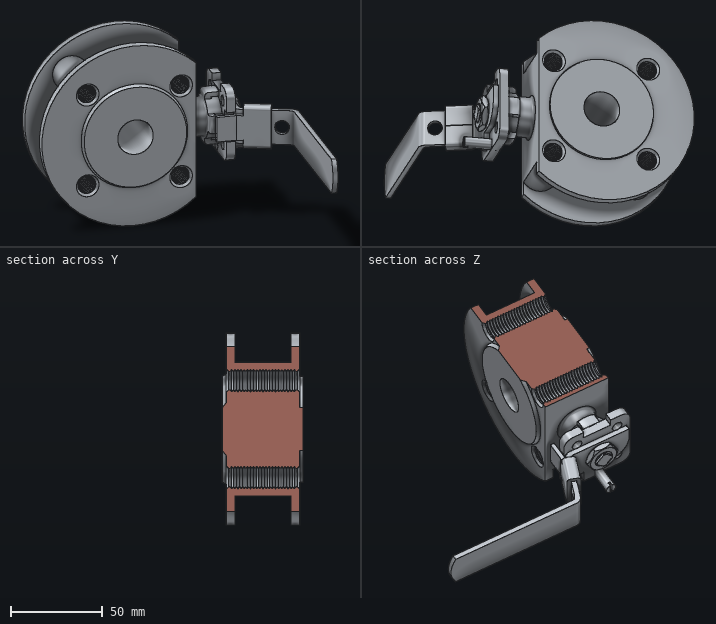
import cadquery as cq
import math


flange_diameter = 104.9
flange_thickness = 5.0
flat_y = 35.0
bore_diameter = 20.0
raised_face_diameter = 58.0
left_face_height = 1.7
right_face_height = 2.1
right_face_base_diameter = 60.3
face_x = 22.0
left_flange_x = -face_x + left_face_height
right_flange_x = face_x - right_face_height
waist_left_x = left_flange_x + flange_thickness
waist_right_x = right_flange_x - flange_thickness

bolt_offset = 26.5
boss_radius = 10.1
valley_radius = 30.2
thread_minor_diameter = 10.0
thread_major_diameter = 12.0
thread_mouth_diameter = 12.8
thread_pitch = 1.7
thread_ring_count = 21

neck_diameter = 22.0
neck_base_flare = 1.3
neck_base_flare_height = 1.9
neck_top_flare = 0.9
core_diameter = 25.0
lug_circle_diameter = 32.0
lug_width = 10.1
lug_edge_radius = 2.0
lug_bottom_y = 44.0
lug_relief_bottom_y = 47.7
lug_web_width = 5.0
plate_bottom_y = 52.0
plate_top_y = 57.0
plate_size = 42.0
plate_corner_radius = 6.0
plate_hole_diameter = 6.0
plate_hole_offset = 12.7
notch_width = 17.1
notch_depth = 4.4

pin_diameter = 6.0
pin_z = -17.6
pin_top_y = 72.2
pin_slot_width = 1.1
pin_slot_depth = 2.3

stem_diameter = 10.7
stem_square = 8.0
stem_top_y = 65.3
stem_chamfer = 0.5
nut_across_flats = 17.1
nut_height = 4.0
nut_face_radius = 8.3
nut_chamfer_angle = math.radians(40)

lever_thickness = 3.0
lever_width = 19.9
lever_left_x = -18.5
bend_inner_radius = 3.1
bend_outer_radius = 4.4
lever_lean = math.radians(20)
lever_foot_x = 19.5
overall_height = 142.3
handle_top_y = overall_height - flange_diameter / 2
handle_end_x = 112.0
handle_end_bulge = 3.0
lever_hole_diameter = 8.0
lever_hole_y = 81.5
stop_arc_radius = 12.7
stop_ear_width = 7.1

sleeve_wall = 2.4
sleeve_length = 15.2
sleeve_corner_radius = 2.3
sleeve_bottom_y = 61.8
sleeve_seam = 0.3
tongue_width = 14.4
tongue_outer_x = 23.0
tongue_bottom_y = 45.8

lever_bottom_y = plate_top_y
lever_top_y = lever_bottom_y + lever_thickness
lever_base_mid_y = lever_bottom_y + lever_thickness / 2
nut_top_y = lever_top_y + nut_height


def cylinder_along_y(diameter, y_start, y_end, x=0, z=0):
    base = cq.Workplane("XZ", origin=(0, y_start, 0)).center(x, z)
    return base.circle(diameter / 2).extrude(y_start - y_end)


def cylinder_along_x(diameter, x_start, x_end, y=0, z=0):
    base = cq.Workplane("YZ", origin=(x_start, 0, 0)).center(y, z)
    return base.circle(diameter / 2).extrude(x_end - x_start)


def box_along_y(x_size, z_size, y_start, y_end, x=0, z=0):
    base = cq.Workplane("XZ", origin=(0, y_start, 0)).center(x, z)
    return base.rect(x_size, z_size).extrude(y_start - y_end)


def lean_x(y):
    """X of the mid plane of the leaning lever stretch at height y."""
    return lever_foot_x + (y - lever_base_mid_y) * math.tan(lever_lean)


def bolt_positions():
    return [(y, z) for y in (-bolt_offset, bolt_offset) for z in (-bolt_offset, bolt_offset)]


def waist():
    """Lobed section between the flanges: four bosses joined by concave valleys."""
    valley_centre = bolt_offset + math.sqrt((boss_radius + valley_radius) ** 2 - bolt_offset ** 2)
    tangent_share = boss_radius / (boss_radius + valley_radius)
    near = bolt_offset * (1 - tangent_share)
    far = bolt_offset + (valley_centre - bolt_offset) * tangent_share
    outline = [
        (far, near), (near, far), (-near, far), (-far, near),
        (-far, -near), (-near, -far), (near, -far), (far, -near),
    ]
    length = waist_right_x - waist_left_x
    section = cq.Workplane("YZ", origin=(waist_left_x, 0, 0))
    body = section.polyline(outline).close().extrude(length)
    body = body.union(section.pushPoints(bolt_positions()).circle(boss_radius).extrude(length))
    valleys = [(-valley_centre, 0), (0, valley_centre), (0, -valley_centre)]
    body = body.cut(section.pushPoints(valleys).circle(valley_radius).extrude(length))
    middle_x = (waist_left_x + waist_right_x) / 2
    return body.union(box_along_y(length, 2 * bolt_offset, bolt_offset, flat_y, x=middle_x))


def flanges():
    left = cylinder_along_x(flange_diameter, left_flange_x, waist_left_x)
    right = cylinder_along_x(flange_diameter, waist_right_x, right_flange_x)
    return left.union(right)


def raised_faces():
    left = cylinder_along_x(raised_face_diameter, -face_x, left_flange_x)
    right = (
        cq.Workplane("YZ", origin=(right_flange_x, 0, 0))
        .circle(right_face_base_diameter / 2)
        .workplane(offset=right_face_height)
        .circle(raised_face_diameter / 2)
        .loft()
    )
    return left.union(right)


def thread_cutter():
    """Through-hole tool with V-shaped thread rings and a wide mouth at both ends."""
    minor = thread_minor_diameter / 2
    major = thread_major_diameter / 2
    mouth = thread_mouth_diameter / 2
    mouth_depth = mouth - minor
    start = left_flange_x + mouth_depth
    end = right_flange_x - mouth_depth
    first = (start + end - thread_ring_count * thread_pitch) / 2
    profile = [(left_flange_x, 0), (left_flange_x, mouth), (start, minor)]
    for ring in range(thread_ring_count):
        x = first + ring * thread_pitch
        profile.append((x, minor))
        profile.append((x + thread_pitch / 2, major))
    last = first + thread_ring_count * thread_pitch
    profile += [(last, minor), (end, minor), (right_flange_x, mouth), (right_flange_x, 0)]
    return cq.Workplane("XY").polyline(profile).close().revolve(360, (0, 0), (1, 0))


def neck():
    """Round neck with a concave flare at each end, topped by the core between the lugs."""
    radius = neck_diameter / 2
    core_radius = core_diameter / 2
    bulge = 1 - math.sqrt(0.5)
    profile = (
        cq.Workplane("XY")
        .moveTo(0, plate_top_y)
        .lineTo(core_radius, plate_top_y)
        .lineTo(core_radius, lug_bottom_y)
        .lineTo(radius + neck_top_flare, lug_bottom_y)
        .threePointArc(
            (radius + neck_top_flare * bulge, lug_bottom_y - neck_top_flare * bulge),
            (radius, lug_bottom_y - neck_top_flare),
        )
        .lineTo(radius, flat_y + neck_base_flare_height)
        .tangentArcPoint((radius + neck_base_flare, flat_y), relative=False)
        .lineTo(0, flat_y)
        .close()
    )
    return profile.revolve(360, (0, 0), (0, 1))


def lugs():
    """Four lugs under the plate, relieved next to the core just below the plate."""
    disc = cylinder_along_y(lug_circle_diameter, lug_bottom_y, plate_bottom_y)
    disc = disc.faces("<Y").edges().fillet(lug_edge_radius)
    bars = box_along_y(lug_circle_diameter, lug_width, lug_bottom_y, plate_bottom_y)
    bars = bars.union(box_along_y(lug_width, lug_circle_diameter, lug_bottom_y, plate_bottom_y))
    relief = box_along_y(core_diameter, core_diameter, lug_relief_bottom_y, plate_bottom_y)
    webs = box_along_y(core_diameter, lug_web_width, lug_relief_bottom_y, plate_bottom_y)
    relief = relief.cut(webs).cut(webs.rotate((0, 0, 0), (0, 1, 0), 90))
    return disc.intersect(bars).cut(relief)


def mounting_plate():
    plate = box_along_y(plate_size, plate_size, plate_bottom_y, plate_top_y)
    plate = plate.edges("|Y").fillet(plate_corner_radius)
    for x in (-plate_hole_offset, plate_hole_offset):
        for z in (-plate_hole_offset, plate_hole_offset):
            plate = plate.cut(cylinder_along_y(plate_hole_diameter, plate_bottom_y, plate_top_y, x, z))
    notch_centre = plate_size / 2 - notch_depth / 2
    open_notch = box_along_y(notch_depth, notch_width, plate_bottom_y, plate_top_y, x=notch_centre)
    closed_notch = box_along_y(notch_width, notch_depth, plate_bottom_y, plate_top_y, z=notch_centre)
    return plate.cut(open_notch).cut(closed_notch)


def make_housing():
    body = flanges().union(waist())
    beyond_flat = box_along_y(2 * face_x, flange_diameter, flat_y, flange_diameter)
    body = body.cut(beyond_flat)
    body = body.union(raised_faces())
    body = body.union(neck()).union(lugs()).union(mounting_plate())
    body = body.cut(cylinder_along_x(bore_diameter, -face_x, face_x))
    cutter = thread_cutter()
    for y, z in bolt_positions():
        body = body.cut(cutter.translate((0, y, z)))
    body = body.cut(cylinder_along_y(stem_diameter, flat_y, plate_top_y))
    return body.cut(cylinder_along_y(pin_diameter, plate_bottom_y, plate_top_y, z=pin_z))


def make_stop_pin():
    pin = cylinder_along_y(pin_diameter, plate_bottom_y, pin_top_y, z=pin_z)
    slot = box_along_y(pin_slot_width, pin_diameter, pin_top_y - pin_slot_depth, pin_top_y, z=pin_z)
    return pin.cut(slot)


def make_stem():
    """Round stem with a square end whose corners point along X and Z."""
    stem = cylinder_along_y(stem_diameter, flat_y, stem_top_y)
    stem = stem.faces(">Y").edges().chamfer(stem_chamfer)
    square = box_along_y(stem_square, stem_square, nut_top_y, stem_top_y)
    square = square.rotate((0, 0, 0), (0, 1, 0), 45)
    return stem.intersect(square.union(cylinder_along_y(stem_diameter, flat_y, nut_top_y)))


def make_nut():
    """Hexagon nut with a corner along X, its corners chamfered on both faces."""
    corner_radius = nut_across_flats / math.sqrt(3)
    drop = (corner_radius - nut_face_radius) * math.tan(nut_chamfer_angle)
    base = cq.Workplane("XZ", origin=(0, lever_top_y, 0))
    hexagon = base.polygon(6, 2 * corner_radius).extrude(-nut_height)
    envelope = [
        (0, lever_top_y), (nut_face_radius, lever_top_y), (corner_radius, lever_top_y + drop),
        (corner_radius, nut_top_y - drop), (nut_face_radius, nut_top_y), (0, nut_top_y),
    ]
    cone = cq.Workplane("XY").polyline(envelope).close().revolve(360, (0, 0), (0, 1))
    return hexagon.intersect(cone).cut(cylinder_along_y(stem_diameter, lever_top_y, nut_top_y))


def lever_strip():
    """Bent strip of constant thickness: base, leaning stretch and handle."""
    half = lever_thickness / 2
    side_shift = half / math.cos(lever_lean)
    upper = [
        (lever_left_x, lever_top_y),
        (lean_x(lever_top_y) - side_shift, lever_top_y),
        (lean_x(handle_top_y) - side_shift, handle_top_y),
        (handle_end_x, handle_top_y),
    ]
    handle_bottom_y = handle_top_y - lever_thickness
    lower = [
        (handle_end_x, handle_bottom_y),
        (lean_x(handle_bottom_y) + side_shift, handle_bottom_y),
        (lean_x(lever_bottom_y) + side_shift, lever_bottom_y),
        (lever_left_x, lever_bottom_y),
    ]
    strip = cq.Workplane("XY", origin=(0, 0, -lever_width / 2))
    strip = strip.polyline(upper + lower).close().extrude(lever_width)
    bends = [
        (upper[1], bend_inner_radius), (upper[2], bend_outer_radius),
        (lower[1], bend_inner_radius), (lower[2], bend_outer_radius),
    ]
    for corner, radius in bends:
        edge = strip.edges(cq.selectors.NearestToPointSelector((corner[0], corner[1], 0)))
        strip = edge.fillet(radius)
    return strip


def handle_end_trim():
    """Block beyond the bulged end of the handle."""
    half = lever_width / 2
    shoulder_x = handle_end_x - handle_end_bulge
    beyond_x = handle_end_x + handle_end_bulge
    end = cq.Workplane("XZ", origin=(0, handle_top_y - lever_thickness, 0))
    end = end.moveTo(shoulder_x, -half).threePointArc((handle_end_x, 0), (shoulder_x, half))
    return end.lineTo(beyond_x, half).lineTo(beyond_x, -half).close().extrude(-lever_thickness)


def stop_corner_trim():
    """Lower left corner of the base, outside a quarter arc that clears the stop pin."""
    half = lever_width / 2
    corner_x = lever_left_x + stop_arc_radius
    corner_z = stop_arc_radius - half
    square = box_along_y(
        stop_arc_radius, stop_arc_radius, lever_bottom_y, lever_top_y,
        x=corner_x - stop_arc_radius / 2, z=corner_z - stop_arc_radius / 2,
    )
    arc = cylinder_along_y(2 * stop_arc_radius, lever_bottom_y, lever_top_y, corner_x, corner_z)
    return square.cut(arc)


def stop_ear():
    """Ear on the base that rests against the side of the stop pin."""
    return box_along_y(
        stop_ear_width, -pin_z, lever_bottom_y, lever_top_y,
        x=pin_diameter / 2 + stop_ear_width / 2, z=pin_z / 2,
    )


def make_lever():
    lever = lever_strip().cut(handle_end_trim()).cut(stop_corner_trim()).union(stop_ear())
    across = (math.cos(lever_lean), -math.sin(lever_lean), 0)
    hole_plane = cq.Plane(origin=(lean_x(lever_hole_y), lever_hole_y, 0), xDir=(0, 0, 1), normal=across)
    hole = cq.Workplane(hole_plane).circle(lever_hole_diameter / 2)
    lever = lever.cut(hole.extrude(lever_thickness, both=True))
    return lever.cut(cylinder_along_y(stem_diameter, lever_bottom_y, lever_top_y))


def tongue():
    """Continuation of the outer sleeve wall that bends down past the plate edge."""
    slant = 1 / math.cos(lever_lean)
    inner_shift = lever_thickness / 2 * slant
    outer_shift = inner_shift + sleeve_wall * slant
    tongue_inner_x = tongue_outer_x - sleeve_wall
    start_y = sleeve_bottom_y + sleeve_wall

    def bend_y(x, shift):
        return lever_base_mid_y + (x - shift - lever_foot_x) / math.tan(lever_lean)

    outline = [
        (lean_x(start_y) + inner_shift, start_y),
        (lean_x(start_y) + outer_shift, start_y),
        (tongue_outer_x, bend_y(tongue_outer_x, outer_shift)),
        (tongue_outer_x, tongue_bottom_y),
        (tongue_inner_x, tongue_bottom_y),
        (tongue_inner_x, bend_y(tongue_inner_x, inner_shift)),
    ]
    side = cq.Workplane("XY", origin=(0, 0, -tongue_width / 2))
    return side.polyline(outline).close().extrude(tongue_width)


def make_sleeve():
    """Folded sleeve around the leaning stretch, with a seam on its inner wall."""
    up = (math.sin(lever_lean), math.cos(lever_lean), 0)
    section = cq.Workplane(
        cq.Plane(origin=(lean_x(sleeve_bottom_y), sleeve_bottom_y, 0), xDir=(0, 0, 1), normal=up)
    )
    thickness = lever_thickness + 2 * sleeve_wall
    width = lever_width + 2 * sleeve_wall
    sleeve = section.rect(width, thickness).extrude(sleeve_length)
    along = cq.selectors.ParallelDirSelector(cq.Vector(*up))
    sleeve = sleeve.edges(along).fillet(sleeve_corner_radius)
    sleeve = sleeve.union(tongue())
    sleeve = sleeve.cut(section.rect(lever_width, lever_thickness).extrude(sleeve_length))
    seam = section.center(0, -thickness / 2).rect(sleeve_seam, thickness).extrude(sleeve_length)
    return sleeve.cut(seam)


housing = make_housing()
stop_pin = make_stop_pin()
stem = make_stem()
nut = make_nut()
lever = make_lever()
sleeve = make_sleeve()

result = cq.Compound.makeCompound(
    [housing.val(), stop_pin.val(), stem.val(), nut.val(), lever.val(), sleeve.val()]
)